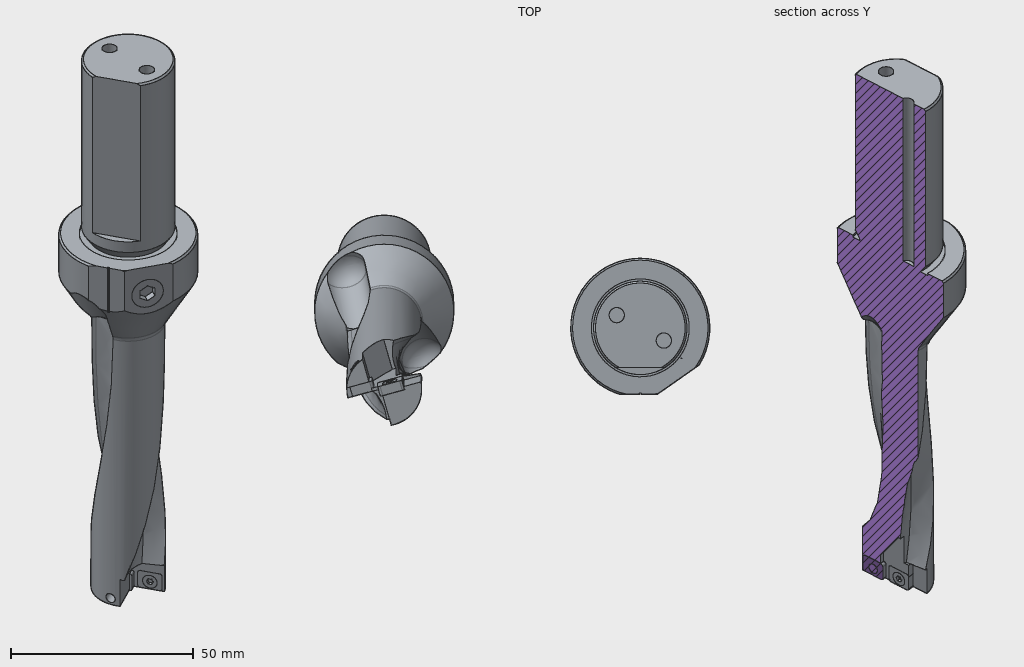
import cadquery as cq
import math

TOP_Z = 173.8
TIP_Z = 0.3
CONE_BOTTOM_Z = 88.5
CONE_TOP_Z = 103.9
FLANGE_TOP_Z = 116.5
SHANK_BOTTOM_Z = 118.7

DRILL_RADIUS = 10.3
FLANGE_DIAMETER = 38.0
FLANGE_RADIUS = FLANGE_DIAMETER / 2
NECK_RADIUS = 11.0
SHANK_DIAMETER = 25.5
SHANK_RADIUS = SHANK_DIAMETER / 2
EDGE_CHAMFER = 0.5
CONE_FILLET_LENGTH = 0.7
RELIEF_RADIUS = 13.4
RELIEF_DEPTH = 0.7

SHANK_FLAT_DISTANCE = 10.8
SHANK_FLAT_BOTTOM_Z = 122.1
FLANGE_FLAT_DEPTH = 0.9
FLANGE_FLAT_DISTANCE = FLANGE_RADIUS - FLANGE_FLAT_DEPTH
PLUG_FLAT_DISTANCE = 17.5
PLUG_FLAT_ANGLE = 35.0
MARK_WIDTH = 0.5
MARK_DEPTH = 0.3

COOLANT_RADIUS = 2.0
COOLANT_X = 6.5
COOLANT_Y = 3.5
PLUG_RADIUS = 4.5
PLUG_LENGTH = 4.3
PLUG_Z = 107.9
PLUG_SOCKET_DIAMETER = 4.9
PLUG_SOCKET_DEPTH = 2.0

FLUTE_TOP_Z = 88.0
FLUTE_BOTTOM_Z = 9.0
FLUTE_TWIST = 83.0
FLUTE_SECTIONS = 13
FLUTE_FLOOR = 0.9
FLUTE_WALL = 1.13
FLUTE_FLOOR_END = 9.0
FLUTE_ARC_DROP = 3.1
FLUTE_REACH = 15.6

RUNOUT_TILT = 30.0
RUNOUT_WIDTH = 12.0
RUNOUT_RISE = 15.1

INSERT_WIDTH = 7.0
INSERT_HEIGHT = 5.5
INSERT_THICKNESS = 2.8
INSERT_CORNER = 0.7
OUTER_INSERT_X = 6.0
OUTER_FACE_Y = 0.3
OUTER_WALL_X = 0.9
INNER_INSERT_X = -1.9
INNER_FACE_Y = 1.2
INNER_WALL_X = 3.5
GULLET_TOP_X = -2.6
GULLET_TOP_Z = 18.2
INNER_STEP_Y = -0.7
SCREW_Z = 2.5
SCREW_RADIUS = 1.4
SCREW_HEAD_RADIUS = 2.0
SCREW_HEAD_HEIGHT = 1.4
SCREW_LENGTH = 7.0
SCREW_SOCKET_DIAMETER = 1.9
SCREW_SOCKET_DEPTH = 0.9


def box_between(low, high):
    """Axis-aligned box given by two opposite corners."""
    size = [b - a for a, b in zip(low, high)]
    return cq.Workplane("XY").box(*size, centered=False).translate(low)


def opposite(tool):
    """Copy of a tool turned half a turn about the drill axis."""
    return tool.rotate((0, 0, 0), (0, 0, 1), 180)


def turned_blank():
    cone_angle = math.atan2(FLANGE_RADIUS - DRILL_RADIUS, CONE_TOP_Z - CONE_BOTTOM_Z)
    fillet_end_radius = DRILL_RADIUS + CONE_FILLET_LENGTH * math.sin(cone_angle)
    fillet_end_z = CONE_BOTTOM_Z + CONE_FILLET_LENGTH * math.cos(cone_angle)
    relief_floor_z = FLANGE_TOP_Z - RELIEF_DEPTH
    return (
        cq.Workplane("XZ")
        .moveTo(0, TIP_Z)
        .lineTo(DRILL_RADIUS, TIP_Z)
        .lineTo(DRILL_RADIUS, CONE_BOTTOM_Z - CONE_FILLET_LENGTH)
        .tangentArcPoint((fillet_end_radius, fillet_end_z), relative=False)
        .lineTo(FLANGE_RADIUS, CONE_TOP_Z)
        .lineTo(FLANGE_RADIUS, FLANGE_TOP_Z - EDGE_CHAMFER)
        .lineTo(FLANGE_RADIUS - EDGE_CHAMFER, FLANGE_TOP_Z)
        .lineTo(RELIEF_RADIUS, FLANGE_TOP_Z)
        .lineTo(RELIEF_RADIUS, relief_floor_z)
        .lineTo(NECK_RADIUS, relief_floor_z)
        .lineTo(SHANK_RADIUS, SHANK_BOTTOM_Z)
        .lineTo(SHANK_RADIUS, TOP_Z - EDGE_CHAMFER)
        .lineTo(SHANK_RADIUS - EDGE_CHAMFER, TOP_Z)
        .lineTo(0, TOP_Z)
        .close()
        .revolve(360, (0, 0, 0), (0, 1, 0))
    )


def flat_cutter(distance, bottom, top, angle=0.0):
    """Material beyond a plane facing -Y, turned by an angle towards +X."""
    reach = 2 * FLANGE_RADIUS
    cutter = box_between((-reach, -reach, bottom), (reach, -distance, top))
    return cutter.rotate((0, 0, 0), (0, 0, 1), angle)


def index_mark():
    floor = FLANGE_FLAT_DISTANCE - MARK_DEPTH
    return box_between(
        (-MARK_WIDTH / 2, -FLANGE_RADIUS, CONE_BOTTOM_Z), (MARK_WIDTH / 2, -floor, FLANGE_TOP_Z)
    )


def coolant_channels():
    return (
        cq.Workplane("XY", origin=(0, 0, FLANGE_TOP_Z))
        .pushPoints([(-COOLANT_X, COOLANT_Y), (COOLANT_X, -COOLANT_Y)])
        .circle(COOLANT_RADIUS)
        .extrude(TOP_Z - FLANGE_TOP_Z)
    )


def flute_section(fraction):
    """Flute outline at a fraction of the way down from the flute top."""
    z = FLUTE_TOP_Z + fraction * (FLUTE_BOTTOM_Z - FLUTE_TOP_Z)
    outline = (
        cq.Workplane("XY", origin=(0, 0, z))
        .moveTo(-FLUTE_REACH, -FLUTE_FLOOR)
        .lineTo(-FLUTE_FLOOR_END, -FLUTE_FLOOR)
        .tangentArcPoint((-FLUTE_WALL, -FLUTE_FLOOR - FLUTE_ARC_DROP), relative=False)
        .lineTo(-FLUTE_WALL, -FLUTE_REACH)
        .lineTo(-FLUTE_REACH, -FLUTE_REACH)
        .close()
    )
    turn = -FLUTE_TWIST * fraction**2
    return outline.val().rotate(cq.Vector(0, 0, 0), cq.Vector(0, 0, 1), turn)


def flute():
    sections = [flute_section(i / (FLUTE_SECTIONS - 1)) for i in range(FLUTE_SECTIONS)]
    return cq.Workplane(cq.Solid.makeLoft(sections))


def flute_runout():
    """Round-bottomed slot that climbs out of the flute through the cone."""
    tilt = math.radians(RUNOUT_TILT)
    radius = RUNOUT_WIDTH / 2
    along = cq.Vector(0, -math.sin(tilt), math.cos(tilt))
    outward = cq.Vector(0, -math.cos(tilt), -math.sin(tilt))
    floor_end = cq.Vector(
        -FLUTE_WALL - radius, -FLUTE_FLOOR - RUNOUT_RISE * math.tan(tilt), FLUTE_TOP_Z + RUNOUT_RISE
    )
    centre = floor_end + outward * radius
    length = 2 * RUNOUT_RISE
    plane = cq.Plane(origin=centre.toTuple(), xDir=along.toTuple(), normal=outward.toTuple())
    slot = (
        cq.Workplane(plane)
        .moveTo(-length, -radius)
        .lineTo(0, -radius)
        .threePointArc((radius, 0), (0, radius))
        .lineTo(-length, radius)
        .close()
        .extrude(2 * FLANGE_RADIUS)
    )
    bottom = cq.Workplane(cq.Solid.makeCylinder(radius, length, centre, along * -1))
    end = cq.Workplane("XY").sphere(radius).translate(centre.toTuple())
    reach = 2 * FLANGE_RADIUS
    above_flute = box_between((-reach, -reach, FLUTE_TOP_Z), (reach, reach, FLANGE_TOP_Z))
    return slot.union(bottom).union(end).intersect(above_flute)


def outer_chip_space():
    """Open quarter in front of the outer insert, facing -Y."""
    return box_between((OUTER_WALL_X, -FLUTE_REACH, 0), (FLUTE_REACH, OUTER_FACE_Y, FLUTE_BOTTOM_Z))


def inner_chip_space():
    """Open quarter in front of the inner insert, facing +Y, stepped down beside the insert."""
    insert_side = INNER_INSERT_X - INSERT_WIDTH / 2
    front = (
        cq.Workplane("XZ", origin=(0, INNER_FACE_Y, 0))
        .moveTo(-FLUTE_REACH, 0)
        .lineTo(INNER_WALL_X, 0)
        .lineTo(INNER_WALL_X, FLUTE_BOTTOM_Z)
        .lineTo(GULLET_TOP_X, GULLET_TOP_Z)
        .lineTo(-FLUTE_REACH, GULLET_TOP_Z)
        .close()
        .extrude(-FLUTE_REACH)
    )
    side = box_between((-FLUTE_REACH, INNER_STEP_Y, 0), (insert_side, FLUTE_REACH, FLUTE_BOTTOM_Z))
    return front.union(side)


def at_outer_seat(shape):
    """Place a shape modelled with its rake face on Y = 0 facing -Y, lower edge on Z = 0."""
    return shape.translate((OUTER_INSERT_X, OUTER_FACE_Y, TIP_Z))


def at_inner_seat(shape):
    """Place the same shape half a turn round, so that its rake face looks towards +Y."""
    return opposite(shape).translate((INNER_INSERT_X, INNER_FACE_Y, 0))


def along_y(radius, start, end):
    """Cylinder on the screw axis between two Y positions."""
    origin = cq.Vector(0, start, SCREW_Z)
    return cq.Workplane(cq.Solid.makeCylinder(radius, end - start, origin, cq.Vector(0, 1, 0)))


def insert_blank():
    half = INSERT_WIDTH / 2
    block = box_between((-half, 0, 0), (half, INSERT_THICKNESS, INSERT_HEIGHT))
    return block.edges("|Y").fillet(INSERT_CORNER)


def screw_blank():
    head = along_y(SCREW_HEAD_RADIUS, 0, SCREW_HEAD_HEIGHT)
    return head.union(along_y(SCREW_RADIUS, SCREW_HEAD_HEIGHT, SCREW_LENGTH))


def insert_seat():
    """Pocket for an insert with the screw hole that runs out through the drill body."""
    return insert_blank().union(along_y(SCREW_RADIUS, 0, 2 * DRILL_RADIUS))


def cutting_insert():
    return insert_blank().cut(screw_blank())


def insert_screw():
    socket = (
        cq.Workplane("XZ", origin=(0, 0, SCREW_Z))
        .polygon(6, SCREW_SOCKET_DIAMETER)
        .extrude(-SCREW_SOCKET_DEPTH)
    )
    return screw_blank().cut(socket)


def on_plug_flat(shape):
    """Place a shape modelled along +Z so that it sinks into the plug flat from outside."""
    angle = math.radians(PLUG_FLAT_ANGLE)
    normal = cq.Vector(math.sin(angle), -math.cos(angle), 0)
    origin = normal * PLUG_FLAT_DISTANCE + cq.Vector(0, 0, PLUG_Z)
    plane = cq.Plane(origin=origin.toTuple(), xDir=(0, 0, 1), normal=(normal * -1).toTuple())
    return cq.Workplane(shape.val().moved(cq.Location(plane)))


def plug_blank():
    return on_plug_flat(cq.Workplane("XY").circle(PLUG_RADIUS).extrude(PLUG_LENGTH))


def coolant_plug():
    socket = cq.Workplane("XY").polygon(6, PLUG_SOCKET_DIAMETER).extrude(PLUG_SOCKET_DEPTH)
    return plug_blank().cut(on_plug_flat(socket))


def drill_body():
    body = turned_blank()
    body = body.cut(flat_cutter(SHANK_FLAT_DISTANCE, SHANK_FLAT_BOTTOM_Z, TOP_Z))
    body = body.cut(flat_cutter(FLANGE_FLAT_DISTANCE, CONE_BOTTOM_Z, FLANGE_TOP_Z))
    body = body.cut(flat_cutter(PLUG_FLAT_DISTANCE, CONE_BOTTOM_Z, FLANGE_TOP_Z, PLUG_FLAT_ANGLE))
    body = body.cut(index_mark()).cut(coolant_channels()).cut(plug_blank())
    for tool in (flute(), flute_runout()):
        body = body.cut(tool).cut(opposite(tool))
    body = body.cut(outer_chip_space()).cut(inner_chip_space())
    return body.cut(at_outer_seat(insert_seat())).cut(at_inner_seat(insert_seat()))


body = drill_body()
plug = coolant_plug()
inserts = []
screws = []
for place in (at_outer_seat, at_inner_seat):
    inserts.append(place(cutting_insert()).val())
    screws.append(place(insert_screw()).val())

result = cq.Compound.makeCompound([*body.vals(), plug.val(), *inserts, *screws])